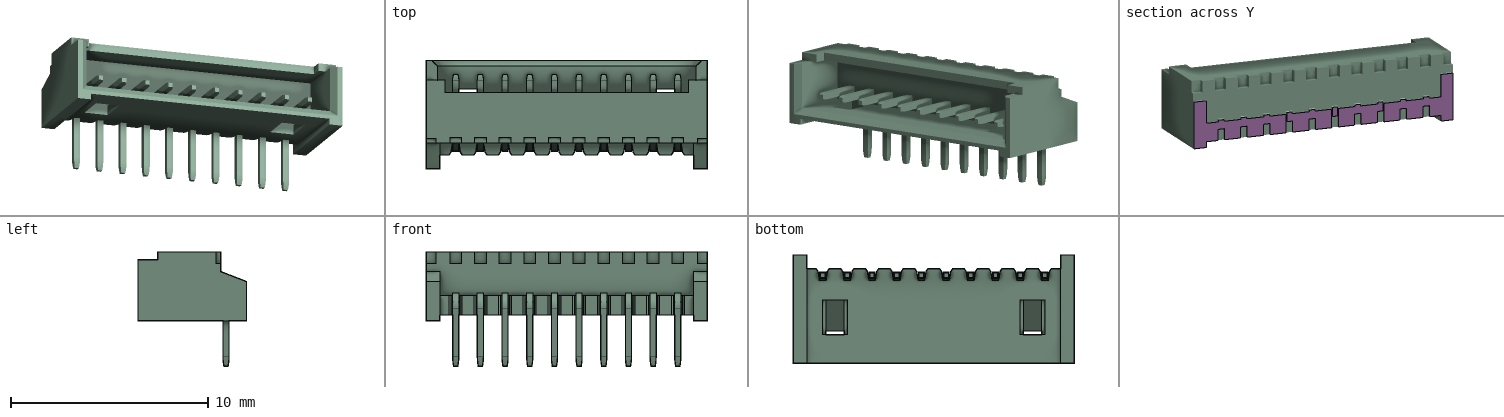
import cadquery as cq
import math


PIN_COUNT = 10
PITCH = 1.25
PIN_SIZE = 0.32
PIN_X = [(i - (PIN_COUNT - 1) / 2) * PITCH for i in range(PIN_COUNT)]

END_MARGIN = 1.5
LENGTH = 2 * END_MARGIN + (PIN_COUNT - 1) * PITCH
DEPTH = 5.5
HEIGHT = 3.5
ARM_REACH = 1.3
ARM_WIDTH = 0.7
ARM_FRONT_DROP = 1.5
ARM_REAR_DROP = 1.0
STANDOFF = 0.3
FRONT_Y = -ARM_REACH
BACK_Y = DEPTH - ARM_REACH

ROOF = 0.4
FLOOR_TOP = 0.8
SIDE_WALL = 0.58
PIN_WALL = 1.0
LEAD_IN = 0.3
CAVITY_TOP = HEIGHT - ROOF
CAVITY_WIDTH = LENGTH - 2 * SIDE_WALL
ROOF_SETBACK = 1.0
ROOF_CUT_SETBACK = 1.63
ROOF_EAR = 0.95
WINDOW_SETBACK = 1.46

NOTCH_WIDTH = 0.6
NOTCH_HEIGHT = 0.6
NOTCH_DEPTH = 0.3
END_NOTCH_WIDTH = 0.5
END_NOTCH_DEPTH = 0.25

BLOCK_REACH = 0.6
BLOCK_TOP = 1.3
BLOCK_SHOULDER = 0.45
GAP_AT_WALL = PIN_SIZE
GAP_AT_SHOULDER = 0.46
GAP_AT_FRONT = 0.66

PIN_FRONT_Y = -0.42
BEND_RADIUS = 0.98
BEND_BOTTOM = 0.62
PIN_TOP = BEND_BOTTOM + BEND_RADIUS
PIN_BOTTOM = -2.3
PIN_END_SETBACK = 0.72
TIP_INSET = 0.05
TAIL_TIP_LENGTH = 0.5
MATING_TIP_LENGTH = 0.3


def box(x0, x1, y0, y1, z0, z1):
    """Axis-aligned block between two opposite corners."""
    return cq.Workplane("XY").box(x1 - x0, y1 - y0, z1 - z0, centered=False).translate((x0, y0, z0))


def housing_blank():
    """Side outline swept over the full length, cleared between the arms and under the floor."""
    outline = [
        (FRONT_Y, 0),
        (BACK_Y, 0),
        (BACK_Y, CAVITY_TOP),
        (BACK_Y - ROOF_SETBACK, CAVITY_TOP),
        (BACK_Y - ROOF_SETBACK, HEIGHT),
        (0, HEIGHT),
        (0, HEIGHT - ARM_REAR_DROP),
        (FRONT_Y, HEIGHT - ARM_FRONT_DROP),
    ]
    blank = cq.Workplane("YZ").polyline(outline).close().extrude(LENGTH / 2, both=True)
    inner = LENGTH / 2 - ARM_WIDTH
    between_arms = box(-inner, inner, FRONT_Y, 0, 0, HEIGHT)
    under_floor = box(-inner, inner, FRONT_Y, BACK_Y, 0, STANDOFF)
    return blank.cut(between_arms).cut(under_floor)


def cavity():
    """Mating cavity, flared at the floor and side edges of its mouth."""
    half = CAVITY_WIDTH / 2
    pocket = box(-half, half, PIN_WALL, BACK_Y, FLOOR_TOP, CAVITY_TOP)
    middle_z = (FLOOR_TOP + CAVITY_TOP) / 2
    mouth_height = CAVITY_TOP - FLOOR_TOP
    mouth = (
        cq.Workplane("XZ", origin=(0, BACK_Y, middle_z))
        .rect(CAVITY_WIDTH + 2 * LEAD_IN, mouth_height + 2 * LEAD_IN)
        .workplane(offset=LEAD_IN)
        .rect(CAVITY_WIDTH, mouth_height)
        .loft(ruled=True)
    )
    return pocket.union(mouth)


def roof_cut():
    """Opening that sets the roof further back between its two end ears."""
    half = LENGTH / 2 - ROOF_EAR
    return box(-half, half, BACK_Y - ROOF_CUT_SETBACK, BACK_Y, CAVITY_TOP, HEIGHT)


def floor_window(x0, x1):
    """Opening through the cavity floor, running forward to the pin wall."""
    return box(x0, x1, PIN_WALL, BACK_Y - WINDOW_SETBACK, STANDOFF, FLOOR_TOP)


def top_notches():
    """Row of notches in the top front edge: one above each pin and one at each end."""
    z0 = HEIGHT - NOTCH_HEIGHT
    end = LENGTH / 2
    notches = box(-end, -end + END_NOTCH_WIDTH, 0, END_NOTCH_DEPTH, z0, HEIGHT)
    notches = notches.union(box(end - END_NOTCH_WIDTH, end, 0, END_NOTCH_DEPTH, z0, HEIGHT))
    for x in PIN_X:
        notches = notches.union(box(x - NOTCH_WIDTH / 2, x + NOTCH_WIDTH / 2, 0, NOTCH_DEPTH, z0, HEIGHT))
    return notches


def guide_blocks():
    """Ledge along the pin wall, split by a flared gap around each pin."""
    half = LENGTH / 2 - ARM_WIDTH
    ledge = box(-half, half, -BLOCK_REACH, 0, STANDOFF, BLOCK_TOP)
    right_side = [
        (GAP_AT_WALL / 2, 0),
        (GAP_AT_SHOULDER / 2, -BLOCK_SHOULDER),
        (GAP_AT_FRONT / 2, -BLOCK_REACH),
    ]
    left_side = [(-x, y) for x, y in reversed(right_side)]
    gap = (
        cq.Workplane("XY", origin=(0, 0, STANDOFF))
        .polyline(right_side + left_side)
        .close()
        .extrude(BLOCK_TOP - STANDOFF)
    )
    for x in PIN_X:
        ledge = ledge.cut(gap.translate((x, 0, 0)))
    return ledge


def tip_profile(plane, length):
    """Square bar end along the plane's +Y whose sides curve in from tangent to the tip."""
    half = PIN_SIZE / 2
    radius = (length**2 + TIP_INSET**2) / (2 * TIP_INSET)
    mid_x = half - radius + math.sqrt(radius**2 - (length / 2) ** 2)
    return (
        cq.Workplane(plane)
        .moveTo(-half, 0)
        .lineTo(half, 0)
        .threePointArc((mid_x, length / 2), (half - TIP_INSET, length))
        .lineTo(TIP_INSET - half, length)
        .threePointArc((-mid_x, length / 2), (-half, 0))
        .close()
        .extrude(half, both=True)
    )


def tip(length):
    """Pin tip rising along +Z from the origin, curved in on all four sides."""
    return tip_profile("XZ", length).intersect(tip_profile("YZ", length))


def pin():
    """Bent square pin at X = 0: tail down, bend through the wall, contact towards +Y."""
    tail_end = PIN_BOTTOM + TAIL_TIP_LENGTH
    contact_end = BACK_Y - PIN_END_SETBACK - MATING_TIP_LENGTH
    bend_y = PIN_FRONT_Y + BEND_RADIUS
    inner_radius = BEND_RADIUS - PIN_SIZE
    diagonal = math.sqrt(0.5)
    bar = (
        cq.Workplane("YZ")
        .moveTo(PIN_FRONT_Y, tail_end)
        .lineTo(PIN_FRONT_Y, BEND_BOTTOM)
        .threePointArc(
            (bend_y - BEND_RADIUS * diagonal, BEND_BOTTOM + BEND_RADIUS * diagonal),
            (bend_y, PIN_TOP),
        )
        .lineTo(contact_end, PIN_TOP)
        .lineTo(contact_end, PIN_TOP - PIN_SIZE)
        .lineTo(bend_y, PIN_TOP - PIN_SIZE)
        .threePointArc(
            (bend_y - inner_radius * diagonal, BEND_BOTTOM + inner_radius * diagonal),
            (PIN_FRONT_Y + PIN_SIZE, BEND_BOTTOM),
        )
        .lineTo(PIN_FRONT_Y + PIN_SIZE, tail_end)
        .close()
        .extrude(PIN_SIZE / 2, both=True)
    )
    tail_tip = tip(TAIL_TIP_LENGTH).rotate((0, 0, 0), (1, 0, 0), 180)
    tail_tip = tail_tip.translate((0, PIN_FRONT_Y + PIN_SIZE / 2, tail_end))
    contact_tip = tip(MATING_TIP_LENGTH).rotate((0, 0, 0), (1, 0, 0), -90)
    contact_tip = contact_tip.translate((0, contact_end, PIN_TOP - PIN_SIZE / 2))
    return bar.union(tail_tip).union(contact_tip)


body = housing_blank().cut(cavity()).cut(roof_cut()).cut(top_notches())
body = body.cut(floor_window(PIN_X[0], PIN_X[1]))
body = body.cut(floor_window(PIN_X[-2], PIN_X[-1]))
body = body.union(guide_blocks())

single_pin = pin()
for x in PIN_X:
    body = body.union(single_pin.translate((x, 0, 0)))

result = body